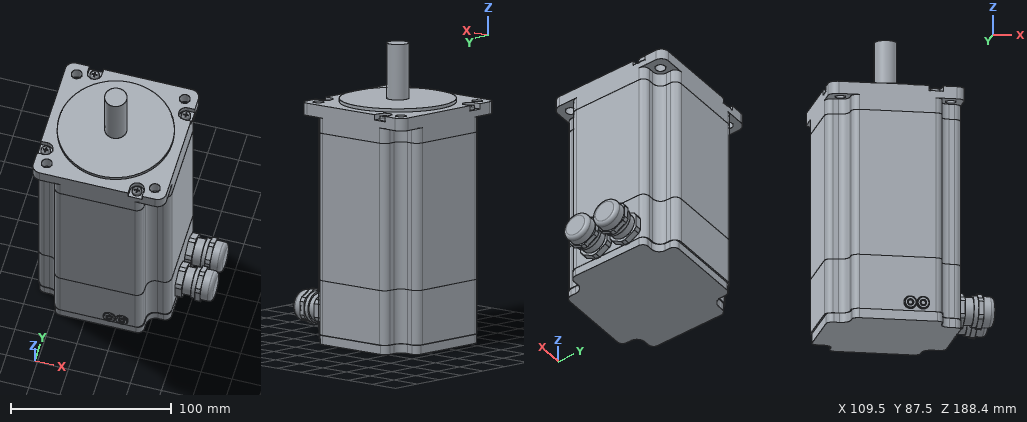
import cadquery as cq
import math

OVERALL_HEIGHT = 188.4
CAP_TOP = 6.0
REAR_TOP = 40.7
STATOR_TOP = 133.8
EAR_BOTTOM = 143.4
FLANGE_TOP = 151.3
PILOT_TOP = 153.4

BODY_WIDTH = 86.0
NOTCH = 14.1
LOBE_RADIUS = 4.7
FLUTE_RADIUS = 6.0

CAP_INSET = 1.0
CAP_WIDTH = BODY_WIDTH - CAP_INSET
CAP_NOTCH = 13.8
CAP_LOBE_RADIUS = 4.1

EAR_CORNER_RADIUS = 5.7
HOLE_DIAMETER = 6.5
HOLE_SPACING = BODY_WIDTH - 2 * (NOTCH - FLUTE_RADIUS)
PILOT_DIAMETER = 73.0

POCKET_WIDTH = 9.0
POCKET_DEPTH = 3.4
SCREW_ALONG_SIDE = 24.3
SCREW_FROM_AXIS = 38.5
SCREW_HEAD_DIAMETER = 6.0
SCREW_HEAD_HEIGHT = 2.3
SCREW_HEAD_ROUND = 0.8
CROSS_LENGTH = 3.0
CROSS_WIDTH = 0.5
CROSS_DEPTH = 1.0

SHAFT_DIAMETER = 14.0

PLUG_DIAMETER = 8.0
PLUG_HEIGHT = 1.5
PLUG_CHAMFER = 0.5
PLUG_PITCH = 8.1
PLUG_PAIR_X = 11.9
PLUG_Z = 11.3
COUNTERBORE_DIAMETER = 4.0
COUNTERBORE_DEPTH = 0.4
SOCKET_CORNER_DIAMETER = 3.2
SOCKET_DEPTH = 1.0

GLAND_Z = 16.5
GLAND_Y_POSITIONS = (15.0, -7.5)
HEX_ACROSS_FLATS = 20.5
HEX_TURNED_DIAMETER = 22.2
NECK_DIAMETER = 17.7
COLLAR_DIAMETER = 19.8
DOME_DIAMETER = 19.5
BASE_HEX_LENGTH = 4.3
NECK_LENGTH = 5.7
COLLAR_LENGTH = 2.8
NUT_LENGTH = 3.4
DOME_LENGTH = 7.3
DOME_ROUND = 2.6

HALF_WIDTH = BODY_WIDTH / 2
POSITION_TOLERANCE = 0.02


def block(width, bottom, top):
    """Square block centred on the Z axis between two heights."""
    return cq.Workplane("XY").workplane(offset=bottom).rect(width, width).extrude(top - bottom)


def cylinder(diameter, bottom, top):
    """Round bar on the Z axis between two heights."""
    return cq.Workplane("XY").workplane(offset=bottom).circle(diameter / 2).extrude(top - bottom)


def on_diagonal(edge):
    """True for an upright edge lying on a diagonal of the section."""
    center = edge.Center()
    return abs(abs(center.x) - abs(center.y)) < POSITION_TOLERANCE


def fluted_block(width, notch, lobe_radius, bottom, top):
    """Square block with a rounded flute down each of its four corners."""
    notches = (
        cq.Workplane("XY")
        .workplane(offset=bottom)
        .rect(width, width, forConstruction=True)
        .vertices()
        .rect(2 * notch, 2 * notch)
        .extrude(top - bottom)
    )
    body = block(width, bottom, top).cut(notches)
    body = body.edges("|Z").filter(on_diagonal).fillet(FLUTE_RADIUS)
    outer_line = width / 2 - POSITION_TOLERANCE
    return (
        body.edges("|Z")
        .filter(lambda e: max(abs(e.Center().x), abs(e.Center().y)) > outer_line)
        .fillet(lobe_radius)
    )


def body_section(bottom, top):
    """Length of the common fluted section."""
    return fluted_block(BODY_WIDTH, NOTCH, LOBE_RADIUS, bottom, top)


def screw_pocket():
    """Round-ended pocket open to the +Y side."""
    overshoot = 1.9
    length = HALF_WIDTH + overshoot - SCREW_FROM_AXIS
    floor = cq.Workplane("XY", origin=(-SCREW_ALONG_SIDE, SCREW_FROM_AXIS, FLANGE_TOP - POCKET_DEPTH))
    round_end = floor.circle(POCKET_WIDTH / 2).extrude(POCKET_DEPTH)
    mouth = floor.center(0, length / 2).rect(POCKET_WIDTH, length).extrude(POCKET_DEPTH)
    return round_end.union(mouth)


def screw_head():
    """Round cross-recess screw head on the pocket floor at the +Y side."""
    floor = cq.Workplane("XY", origin=(-SCREW_ALONG_SIDE, SCREW_FROM_AXIS, FLANGE_TOP - POCKET_DEPTH))
    head = floor.circle(SCREW_HEAD_DIAMETER / 2).extrude(SCREW_HEAD_HEIGHT)
    head = head.faces(">Z").edges().fillet(SCREW_HEAD_ROUND)
    for length_x, length_y in ((CROSS_LENGTH, CROSS_WIDTH), (CROSS_WIDTH, CROSS_LENGTH)):
        head = head.faces(">Z").workplane(centerOption="CenterOfBoundBox")
        head = head.rect(length_x, length_y).cutBlind(-CROSS_DEPTH)
    return head


def make_flange():
    """Mounting flange with shaft, pilot, corner ears, holes and four recessed screw heads."""
    ears = block(BODY_WIDTH, EAR_BOTTOM, FLANGE_TOP).edges("|Z").fillet(EAR_CORNER_RADIUS)
    ears = (
        ears.faces(">Z")
        .workplane()
        .rect(HOLE_SPACING, HOLE_SPACING, forConstruction=True)
        .vertices()
        .hole(HOLE_DIAMETER)
    )
    flange = body_section(STATOR_TOP, EAR_BOTTOM).union(ears)
    flange = flange.union(cylinder(PILOT_DIAMETER, FLANGE_TOP, PILOT_TOP))
    flange = flange.union(cylinder(SHAFT_DIAMETER, PILOT_TOP, OVERALL_HEIGHT))
    pocket = screw_pocket()
    head = screw_head()
    for angle in (0, 90, 180, 270):
        flange = flange.cut(pocket.rotate((0, 0, 0), (0, 0, 1), angle))
        flange = flange.union(head.rotate((0, 0, 0), (0, 0, 1), angle))
    return flange


def make_stator():
    """Plain fluted length between the flange and the rear housing."""
    return body_section(REAR_TOP, STATOR_TOP)


def plug(x):
    """Chamfered round plug with a hexagon socket on the -Y face."""
    face = cq.Workplane("XZ", origin=(x, -HALF_WIDTH, PLUG_Z))
    head = face.circle(PLUG_DIAMETER / 2).extrude(PLUG_HEIGHT)
    head = head.faces("<Y").edges().chamfer(PLUG_CHAMFER)
    head = head.faces("<Y").workplane().circle(COUNTERBORE_DIAMETER / 2).cutBlind(-COUNTERBORE_DEPTH)
    return head.faces("<Y").workplane().polygon(6, SOCKET_CORNER_DIAMETER).cutBlind(-SOCKET_DEPTH)


def make_end_cap():
    """Bottom cap, set flush with the +X and -Y faces of the rear housing."""
    cap_shift = CAP_INSET / 2
    cap = fluted_block(CAP_WIDTH, CAP_NOTCH, CAP_LOBE_RADIUS, 0, CAP_TOP)
    return cap.translate((cap_shift, -cap_shift, 0))


def make_rear_housing():
    """Rear housing with two plugs."""
    housing = body_section(CAP_TOP, REAR_TOP)
    for side in (-1, 1):
        housing = housing.union(plug(PLUG_PAIR_X + side * PLUG_PITCH / 2))
    return housing


def gland_disc(x, diameter, length):
    """Round section of a gland starting at distance x from the housing face."""
    return cq.Workplane("YZ").workplane(offset=x).circle(diameter / 2).extrude(length)


def gland_hex(x, length):
    """Hexagon with turned corners: two flats face +Y and -Y."""
    corner_diameter = 2 * HEX_ACROSS_FLATS / math.sqrt(3)
    hexagon = cq.Workplane("YZ").workplane(offset=x).polygon(6, corner_diameter).extrude(length)
    half_corner_angle = 30
    hexagon = hexagon.rotate((0, 0, 0), (1, 0, 0), half_corner_angle)
    return hexagon.intersect(gland_disc(x, HEX_TURNED_DIAMETER, length))


def make_gland(y):
    """Cable gland pointing along +X from the housing face."""
    neck_start = BASE_HEX_LENGTH
    collar_start = neck_start + NECK_LENGTH
    nut_start = collar_start + COLLAR_LENGTH
    dome_start = nut_start + NUT_LENGTH
    dome = gland_disc(dome_start, DOME_DIAMETER, DOME_LENGTH).faces(">X").edges().fillet(DOME_ROUND)
    gland = (
        gland_hex(0, BASE_HEX_LENGTH)
        .union(gland_disc(neck_start, NECK_DIAMETER, NECK_LENGTH))
        .union(gland_disc(collar_start, COLLAR_DIAMETER, COLLAR_LENGTH))
        .union(gland_hex(nut_start, NUT_LENGTH))
        .union(dome)
    )
    return gland.translate((HALF_WIDTH, y, GLAND_Z))


flange = make_flange()
stator = make_stator()
rear_housing = make_rear_housing()
end_cap = make_end_cap()
glands = [make_gland(y) for y in GLAND_Y_POSITIONS]

result = cq.Compound.makeCompound(
    [flange.val(), stator.val(), rear_housing.val(), end_cap.val()] + [gland.val() for gland in glands]
)